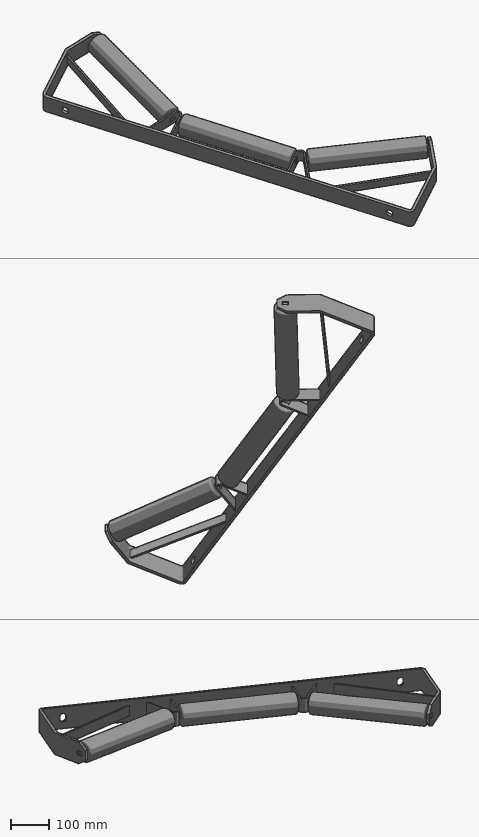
import cadquery as cq
import math

tilt = 30.0
overall_width = 1050.0
overall_depth = 267.0

frame_height = 62.0
frame_thickness = 8.0
corner_radius = 14.0
wing_bend_radius = 20.0
wing_start = 168.0
tip_height = 26.0
tip_length = 25.0
mount_slot_offset = 66.0
mount_slot_width = 18.0
mount_slot_height = 24.0

roller_diameter = 60.0
roller_length = 315.0
roller_fillet = 5.0
roller_gap = 5.0
centre_roller_y = 71.0
shaft_diameter = 18.0
shaft_flat_height = 13.0
shaft_recess = 4.0
shaft_to_wing_tip = 22.0

bracket_thickness = 4.7
bracket_height = 40.0
bracket_top = 95.0
bracket_bend_radius = 10.0

brace_thickness = 5.0
brace_height = 29.0
brace_foot = 278.0
brace_angle = 33.3

half_width = overall_width / 2
sin_tilt = math.sin(math.radians(tilt))
cos_tilt = math.cos(math.radians(tilt))
tan_tilt = math.tan(math.radians(tilt))

support_distance = roller_length / 2 + roller_gap
wing_length = (overall_depth - wing_start) / cos_tilt
wing_tip_x = half_width - wing_length * sin_tilt
shaft_along_wing = wing_length - shaft_to_wing_tip
roller_to_wing_outside = support_distance + frame_thickness
wing_roller_x = half_width - shaft_along_wing * sin_tilt - roller_to_wing_outside * cos_tilt
wing_roller_y = wing_start + shaft_along_wing * cos_tilt - roller_to_wing_outside * sin_tilt


def slab(corners, height):
    """Plate of the given height, centred on Z = 0. Each corner is (x, y, radius of its rounding)."""
    outline = cq.Workplane("XY")
    count = len(corners)
    for index, (x, y, radius) in enumerate(corners):
        corner = cq.Vector(x, y)
        if radius == 0:
            arc_points = [corner]
        else:
            to_previous = (cq.Vector(*corners[index - 1][:2]) - corner).normalized()
            to_next = (cq.Vector(*corners[(index + 1) % count][:2]) - corner).normalized()
            half_angle = to_previous.getAngle(to_next) / 2
            setback = radius / math.tan(half_angle)
            bisector = (to_previous + to_next).normalized()
            arc_middle = corner + bisector * (radius / math.sin(half_angle) - radius)
            arc_points = [corner + to_previous * setback, arc_middle, corner + to_next * setback]
        start = arc_points[0].toTuple()[:2]
        outline = outline.moveTo(*start) if index == 0 else outline.lineTo(*start)
        if len(arc_points) > 1:
            outline = outline.threePointArc(*[point.toTuple()[:2] for point in arc_points[1:]])
    return outline.close().extrude(height).translate((0, 0, -height / 2))


def mirrored(body):
    """The same body on the other side of the frame's middle plane."""
    return body.mirror("YZ")


def at_right_wing(body):
    """Move a body from the origin to the place of the right-hand wing roller."""
    return body.rotate((0, 0, 0), (0, 0, 1), tilt).translate((wing_roller_x, wing_roller_y, 0))


def make_shaft(left_end, right_end):
    length = right_end - left_end
    round_bar = cq.Workplane("YZ", origin=(left_end, 0, 0)).circle(shaft_diameter / 2).extrude(length)
    between_flats = cq.Workplane("XY").box(2 * roller_length, shaft_diameter, shaft_flat_height)
    return round_bar.intersect(between_flats)


def make_roller(left_entry, right_entry):
    """Roller whose shaft goes into its two supports by the given amounts."""
    drum_start = (-roller_length / 2, 0, 0)
    drum = cq.Workplane("YZ", origin=drum_start).circle(roller_diameter / 2).extrude(roller_length)
    drum = drum.faces("<X or >X").edges().fillet(roller_fillet)
    shaft = make_shaft(-support_distance - left_entry, support_distance + right_entry)
    return drum.union(shaft)


centre_roller = make_roller(bracket_thickness, bracket_thickness).translate((0, centre_roller_y, 0))
right_roller = at_right_wing(make_roller(bracket_thickness, frame_thickness - shaft_recess))
wing_rollers = [right_roller, mirrored(right_roller)]


def make_frame_bar():
    inner_x = half_width - frame_thickness
    inner_wing_start = wing_start - frame_thickness * math.tan(math.radians(tilt / 2))
    inner_tip_x = wing_tip_x - frame_thickness * cos_tilt
    inner_tip_y = overall_depth - frame_thickness * sin_tilt
    right_outside = [
        (half_width, 0, corner_radius),
        (half_width, wing_start, wing_bend_radius),
        (wing_tip_x, overall_depth, 0),
    ]
    right_inside = [
        (inner_tip_x, inner_tip_y, 0),
        (inner_x, inner_wing_start, wing_bend_radius - frame_thickness),
        (inner_x, frame_thickness, corner_radius - frame_thickness),
    ]
    right_side = right_outside + right_inside
    left_side = [(-x, y, radius) for x, y, radius in reversed(right_side)]
    return slab(right_side + left_side, frame_height)


def make_tip_taper():
    """The two wedges cut off the end of the right-hand wing."""
    wedge = (
        cq.Workplane("YZ", origin=(support_distance, 0, 0))
        .moveTo(shaft_to_wing_tip - tip_length, frame_height / 2)
        .lineTo(shaft_to_wing_tip, frame_height / 2)
        .lineTo(shaft_to_wing_tip, tip_height / 2)
        .close()
        .extrude(frame_thickness)
    )
    return at_right_wing(wedge.union(wedge.mirror("XY")))


def make_mount_slots():
    slot_x = half_width - mount_slot_offset
    return (
        cq.Workplane("XZ")
        .pushPoints([(-slot_x, 0), (slot_x, 0)])
        .slot2D(mount_slot_height, mount_slot_width, 90)
        .extrude(-frame_thickness)
    )


frame = make_frame_bar().cut(make_mount_slots())
shaft_hole = at_right_wing(make_shaft(0, roller_to_wing_outside))
for wing_cut in (make_tip_taper(), shaft_hole):
    frame = frame.cut(wing_cut).cut(mirrored(wing_cut))


def make_right_bracket():
    wing_face_x = wing_roller_x - support_distance * cos_tilt
    wing_face_y = wing_roller_y - support_distance * sin_tilt

    def slanted_leg_x(y, depth):
        """X of the slanted leg at a height y and a depth below its face."""
        return wing_face_x - (y - wing_face_y) * tan_tilt - depth / cos_tilt

    inner_leg_x = support_distance + bracket_thickness
    inner_top = bracket_top - bracket_thickness
    inner_radius = bracket_bend_radius - bracket_thickness
    corners = [
        (support_distance, frame_thickness, 0),
        (support_distance, bracket_top, bracket_bend_radius),
        (slanted_leg_x(bracket_top, 0), bracket_top, bracket_bend_radius),
        (slanted_leg_x(frame_thickness, 0), frame_thickness, 0),
        (slanted_leg_x(frame_thickness, bracket_thickness), frame_thickness, 0),
        (slanted_leg_x(inner_top, bracket_thickness), inner_top, inner_radius),
        (inner_leg_x, inner_top, inner_radius),
        (inner_leg_x, frame_thickness, 0),
    ]
    return slab(corners, bracket_height).cut(centre_roller).cut(right_roller)


right_bracket = make_right_bracket()
brackets = [right_bracket, mirrored(right_bracket)]


def make_right_brace():
    angle = math.radians(brace_angle)
    end_x = half_width - frame_thickness / 2
    end_y = frame_thickness + (end_x - brace_foot) * math.tan(angle)
    corners = [
        (brace_foot, frame_thickness, 0),
        (brace_foot + brace_thickness / math.sin(angle), frame_thickness, 0),
        (end_x, end_y - brace_thickness / math.cos(angle), 0),
        (end_x, end_y, 0),
    ]
    return slab(corners, brace_height).cut(frame)


right_brace = make_right_brace()
braces = [right_brace, mirrored(right_brace)]

bodies = [frame, centre_roller, *wing_rollers, *brackets, *braces]
result = cq.Compound.makeCompound([body.val() for body in bodies])